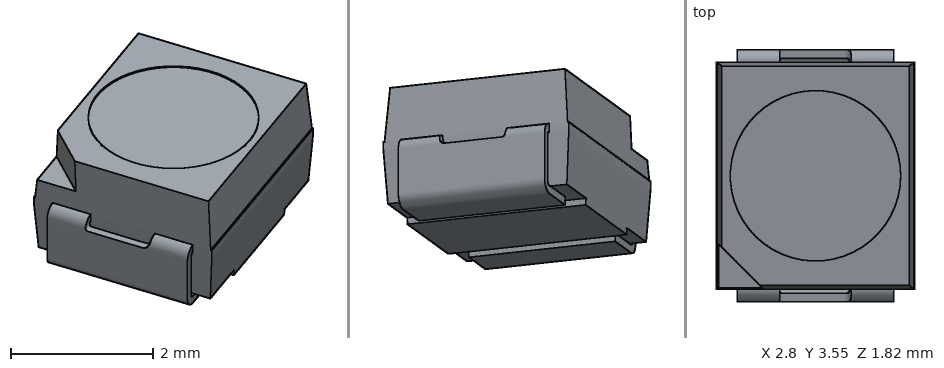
import cadquery as cq
import math

TOTAL_LENGTH = 3.55
BODY_WIDTH = 2.8
BODY_LENGTH = 3.2
TOTAL_HEIGHT = 1.82

LEAD_THICKNESS = 0.12
LEAD_WIDTH = 2.208
LEAD_BEND_RADIUS = (TOTAL_LENGTH - BODY_LENGTH) / 2
LEAD_TOP = 1.02
FOOT_LENGTH = 0.8
LEAD_EMBED = 0.07

NOTCH_WIDTH = 1.008
NOTCH_DEPTH = 0.17
NOTCH_LEFT_RADIUS = 0.05
NOTCH_RIGHT_RADIUS = 0.1
SHOULDER_INSET = 0.025
SHOULDER_DROP = 0.12
NOTCH_CLEARANCE = 0.035

WAIST_BOTTOM = LEAD_TOP - LEAD_THICKNESS
BASE_WIDTH = 2.69
BASE_LENGTH = 3.085
UPPER_WIDTH = 2.765
TOP_WIDTH = 2.64
TOP_LENGTH = 3.085
STANDOFF = 0.025
PAD_LENGTH = 1.598

WINDOW_DIAMETER = 2.4
WINDOW_DEPTH = 0.02
CORNER_MARK_FLOOR = 1.325
CORNER_MARK_LEG = 0.675


def tapered_block(bottom_size, bottom_z, top_size, top_z):
    """Loft between two centred rectangles."""
    return (
        cq.Workplane("XY", origin=(0, 0, bottom_z))
        .rect(*bottom_size)
        .workplane(offset=top_z - bottom_z)
        .rect(*top_size)
        .loft(ruled=True)
    )


def make_body():
    waist_size = (BODY_WIDTH, BODY_LENGTH)
    lower = tapered_block((BASE_WIDTH, BASE_LENGTH), STANDOFF, waist_size, WAIST_BOTTOM)
    waist = cq.Workplane("XY", origin=(0, 0, WAIST_BOTTOM)).rect(*waist_size).extrude(LEAD_THICKNESS)
    upper = tapered_block((UPPER_WIDTH, BODY_LENGTH), LEAD_TOP, (TOP_WIDTH, TOP_LENGTH), TOTAL_HEIGHT)
    return lower.union(waist).union(upper)


def make_foot_recess(side):
    """Step in the underside that leaves only the central pad."""
    recess_length = (TOTAL_LENGTH - PAD_LENGTH) / 2
    center_y = side * (PAD_LENGTH + recess_length) / 2
    return cq.Workplane("XY").center(0, center_y).rect(BODY_WIDTH, recess_length).extrude(LEAD_THICKNESS)


def make_corner_mark():
    """Triangular prism at the -X, -Y corner."""
    corner_x = -BODY_WIDTH / 2
    corner_y = -BODY_LENGTH / 2
    return (
        cq.Workplane("XY", origin=(0, 0, CORNER_MARK_FLOOR))
        .moveTo(corner_x, corner_y)
        .lineTo(corner_x + CORNER_MARK_LEG, corner_y)
        .lineTo(corner_x, corner_y + CORNER_MARK_LEG)
        .close()
        .extrude(TOTAL_HEIGHT - CORNER_MARK_FLOOR)
    )


def make_window():
    return (
        cq.Workplane("XY", origin=(0, 0, TOTAL_HEIGHT - WINDOW_DEPTH))
        .circle(WINDOW_DIAMETER / 2)
        .extrude(WINDOW_DEPTH)
    )


def make_notch():
    """Notch cutter spanning the gap between the -Y body face and the lead's outer face."""
    cutter_length = (TOTAL_LENGTH - BODY_LENGTH) / 2
    right = NOTCH_WIDTH / 2
    floor = LEAD_TOP - NOTCH_DEPTH
    clear_top = LEAD_TOP + NOTCH_CLEARANCE
    shoulder_x = right - SHOULDER_INSET
    shoulder_z = LEAD_TOP - SHOULDER_DROP
    rise = shoulder_z - floor
    run = math.sqrt(rise * (2 * NOTCH_RIGHT_RADIUS - rise))
    cutter = (
        cq.Workplane("XZ", origin=(0, -BODY_LENGTH / 2, 0))
        .moveTo(right, clear_top)
        .lineTo(right, LEAD_TOP)
        .tangentArcPoint((shoulder_x, shoulder_z), relative=False)
        .radiusArc((shoulder_x - run, floor), NOTCH_RIGHT_RADIUS)
        .lineTo(-right, floor)
        .lineTo(-right, clear_top)
        .close()
        .extrude(cutter_length)
    )
    return cutter.edges("|Y").edges("<X").edges("<Z").fillet(NOTCH_LEFT_RADIUS)


def make_front_lead():
    """C-shaped lead on the -Y end, wrapped around its outer face and under the body."""
    outer_y = -TOTAL_LENGTH / 2
    inner_y = outer_y + LEAD_THICKNESS
    foot_end_y = outer_y + FOOT_LENGTH
    embedded_y = -BODY_LENGTH / 2 + LEAD_EMBED
    lead = (
        cq.Workplane("YZ", origin=(-LEAD_WIDTH / 2, 0, 0))
        .moveTo(embedded_y, LEAD_TOP)
        .lineTo(outer_y, LEAD_TOP)
        .lineTo(outer_y, 0)
        .lineTo(foot_end_y, 0)
        .lineTo(foot_end_y, LEAD_THICKNESS)
        .lineTo(inner_y, LEAD_THICKNESS)
        .lineTo(inner_y, WAIST_BOTTOM)
        .lineTo(embedded_y, WAIST_BOTTOM)
        .close()
        .extrude(LEAD_WIDTH)
    )
    inner_bends = cq.selectors.BoxSelector(
        (-LEAD_WIDTH, inner_y - LEAD_THICKNESS / 2, 0),
        (LEAD_WIDTH, inner_y + LEAD_THICKNESS / 2, LEAD_TOP),
    )
    lead = lead.edges("|X").edges("<Y").fillet(LEAD_BEND_RADIUS)
    lead = lead.edges("|X").edges(inner_bends).fillet(LEAD_BEND_RADIUS - LEAD_THICKNESS)
    return lead.cut(make_notch())


body = make_body()
for side in (-1, 1):
    body = body.cut(make_foot_recess(side))
body = body.cut(make_corner_mark()).cut(make_window())

front_lead = make_front_lead()
rear_lead = front_lead.mirror("XZ")
result = body.union(front_lead).union(rear_lead)